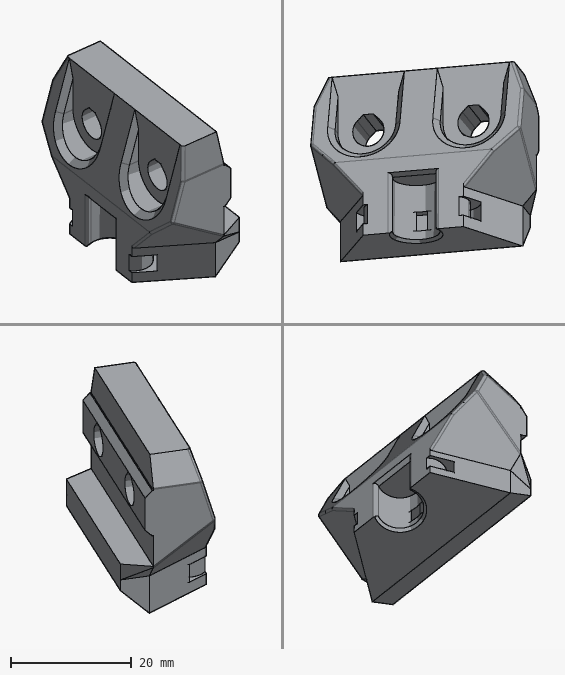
import cadquery as cq
import math

width = 36.0
height = 30.0
body_depth = 12.0
half_width = width / 2

slope_start_z = 13.18
top_setback = 4.95
shoulder_z = 24.55
top_half_width = 15.95

foot_front_half_width = 8.55
foot_rear_half_width = 15.62
foot_height = 7.02
flare_slope = 1.16
edge_round = 0.5

hole_spacing = 18.0
hole_z = 20.0
hole_radius = 2.65
hole_flat_height = 2.9
pocket_radius = 5.2
pocket_chamfer = 1.0

step_top_z = 10.0
rear_depth = 17.0
ridge_mid_z = hole_z
ridge_half_height = 4.25
ridge_ledge = 0.2
ridge_back_y = 13.43

socket_radius = 3.92
socket_axis_y = 1.95
socket_roof_z = 9.97
mouth_round = 0.6
roof_bevel_height = 0.6
roof_bevel_depth = 0.75
socket_bottom_chamfer = 0.5

tie_bottom_z = 2.0
tie_width = 3.3
tie_inner_half_width = 9.0
tie_inner_back_y = 5.75
tie_inner_radius = 3.25
tie_thickness = 1.8

clearance = 3.6

front_slope = top_setback / (height - slope_start_z)


def slope_y(z):
    """Y of the front surface at height z."""
    return max(0.0, (z - slope_start_z) * front_slope)


def prism_x(points):
    """Extrude a (y, z) outline across the full width."""
    return cq.Workplane("YZ").polyline(points).close().extrude(half_width, both=True)


def mirrored(shape):
    """The shape together with its mirror image across the YZ plane."""
    return shape.union(shape.mirror("YZ"))


def flare_cutter():
    """Waste beside and below the flared sides of the foot, for the +X side."""
    def section(y, corner_x):
        reach = half_width
        outline = [
            (corner_x, -clearance),
            (corner_x, foot_height),
            (corner_x + reach, foot_height + reach * flare_slope),
            (corner_x + reach, -clearance),
        ]
        return cq.Wire.makePolygon([cq.Vector(x, y, z) for x, z in outline], close=True)

    front = section(0, foot_front_half_width)
    middle = section(body_depth, foot_rear_half_width)
    rear = section(rear_depth, foot_rear_half_width)
    body_waste = cq.Workplane(cq.Solid.makeLoft([front, middle], True))
    return body_waste.union(cq.Workplane(cq.Solid.makeLoft([middle, rear], True)))


def main_body(foot_waste):
    side = prism_x([
        (0, 0), (body_depth, 0), (body_depth, height), (top_setback, height), (0, slope_start_z),
    ])
    face_outline = (
        cq.Workplane("XZ")
        .polyline([
            (-half_width, 0), (half_width, 0), (half_width, shoulder_z),
            (top_half_width, height), (-top_half_width, height), (-half_width, shoulder_z),
        ])
        .close()
        .extrude(-body_depth)
    )
    return round_edges(side.intersect(face_outline).cut(foot_waste))


def round_edges(body):
    """Round the side edges of the front surface and the edges around each flank."""
    foot_taper = (foot_rear_half_width - foot_front_half_width) / body_depth

    def flare_x(z):
        return foot_front_half_width + foot_taper * slope_y(z) + (z - foot_height) / flare_slope

    flank_front_z = slope_start_z + (half_width - flare_x(slope_start_z)) / (
        foot_taper * front_slope + 1 / flare_slope
    )
    flank_rear_z = foot_height + (half_width - foot_rear_half_width) * flare_slope

    taper_mid_z = (shoulder_z + height) / 2
    flank_mid_z = (flank_front_z + shoulder_z) / 2
    upper_flare_z = (slope_start_z + flank_front_z) / 2
    lower_flare_z = (foot_height + slope_start_z) / 2
    picks = [
        ((half_width + top_half_width) / 2, slope_y(taper_mid_z), taper_mid_z),
        (half_width, slope_y(flank_mid_z), flank_mid_z),
        (flare_x(upper_flare_z), slope_y(upper_flare_z), upper_flare_z),
        (flare_x(lower_flare_z), 0, lower_flare_z),
        (half_width, (slope_y(shoulder_z) + body_depth) / 2, shoulder_z),
        (half_width, (slope_y(flank_front_z) + body_depth) / 2, (flank_front_z + flank_rear_z) / 2),
    ]
    edges = []
    for x, y, z in picks:
        for side in (-1, 1):
            edges += body.edges(cq.NearestToPointSelector((side * x, y, z))).vals()
    return body.newObject(edges).fillet(edge_round)


def rear_step(foot_waste):
    profile = prism_x([
        (body_depth, 0), (rear_depth, rear_depth - body_depth),
        (rear_depth, step_top_z), (body_depth, step_top_z),
    ])
    plan = (
        cq.Workplane("XY")
        .polyline([
            (-half_width, body_depth), (half_width, body_depth),
            (foot_rear_half_width, rear_depth), (-foot_rear_half_width, rear_depth),
        ])
        .close()
        .extrude(step_top_z)
    )
    return profile.intersect(plan).cut(foot_waste)


def ridge():
    ledge_y = body_depth + ridge_ledge
    crest_half_height = ridge_half_height - (ridge_back_y - ledge_y)
    low, high = ridge_mid_z - ridge_half_height, ridge_mid_z + ridge_half_height
    return prism_x([
        (body_depth, low), (ledge_y, low), (ridge_back_y, ridge_mid_z - crest_half_height),
        (ridge_back_y, ridge_mid_z + crest_half_height), (ledge_y, high), (body_depth, high),
    ])


def screw_hole(x):
    """Teardrop hole with 45 degree roof sides and a flat top, along Y."""
    tangent = hole_radius / math.sqrt(2)
    flat_half = 2 * tangent - hole_flat_height
    return (
        cq.Workplane("XZ", origin=(x, 0, hole_z))
        .moveTo(-tangent, tangent)
        .threePointArc((0, -hole_radius), (tangent, tangent))
        .lineTo(flat_half, hole_flat_height)
        .lineTo(-flat_half, hole_flat_height)
        .close()
        .extrude(-rear_depth)
    )


def screw_pocket(x):
    """Void of a U-shaped pocket, chamfered where it breaks out of the sloping face."""
    top_z = height + 2 * clearance
    slab_half = hole_spacing / 2
    slab = (
        cq.Workplane("YZ", origin=(x, 0, 0))
        .polyline([
            (0, slope_start_z), (slope_y(top_z), top_z), (body_depth, top_z), (body_depth, slope_start_z),
        ])
        .close()
        .extrude(slab_half, both=True)
    )
    opening = (
        cq.Workplane("XZ", origin=(x, 0, hole_z))
        .moveTo(-pocket_radius, 0)
        .threePointArc((0, -pocket_radius), (pocket_radius, 0))
        .lineTo(pocket_radius, top_z)
        .lineTo(-pocket_radius, top_z)
        .close()
        .extrude(-body_depth)
    )
    pierced = slab.cut(opening)
    arc_centroid_z = hole_z - 2 * pocket_radius / math.pi
    straight_mid_z = (hole_z + top_z) / 2
    rim_points = [(0, arc_centroid_z), (-pocket_radius, straight_mid_z), (pocket_radius, straight_mid_z)]
    rim = []
    for dx, z in rim_points:
        rim += pierced.edges(cq.NearestToPointSelector((x + dx, slope_y(z), z))).vals()
    pierced = pierced.newObject(rim).chamfer(pocket_chamfer)
    floor_side = cq.Workplane("XY").box(width, top_setback, 2 * top_z, centered=(True, False, True))
    return slab.cut(pierced).intersect(floor_side.translate((x, 0, 0)))


def socket():
    """Void of the round socket with rounded lips, a bevelled roof edge and a chamfered lower rim."""
    mouth_top_z = socket_roof_z + roof_bevel_height
    reach = socket_radius + mouth_round
    lip_x = math.sqrt(reach**2 - (socket_axis_y - mouth_round) ** 2)
    touch_x = lip_x * socket_radius / reach
    touch_y = socket_axis_y - (socket_axis_y - mouth_round) * socket_radius / reach
    narrow_x = lip_x - mouth_round
    bore = (
        cq.Workplane("XY")
        .moveTo(-lip_x, 0)
        .lineTo(lip_x, 0)
        .threePointArc((narrow_x, mouth_round), (touch_x, touch_y))
        .threePointArc((0, socket_axis_y + socket_radius), (-touch_x, touch_y))
        .threePointArc((-narrow_x, mouth_round), (-lip_x, 0))
        .close()
        .extrude(mouth_top_z)
    )
    ceiling = (
        cq.Workplane("YZ")
        .polyline([
            (0, mouth_top_z), (roof_bevel_depth, socket_roof_z),
            (body_depth, socket_roof_z), (body_depth, mouth_top_z),
        ])
        .close()
        .extrude(half_width, both=True)
    )
    lower_rim = cq.Workplane(cq.Solid.makeCone(
        socket_radius + socket_bottom_chamfer, socket_radius, socket_bottom_chamfer,
        pnt=cq.Vector(0, socket_axis_y, 0),
    ))
    return bore.cut(ceiling).union(lower_rim)


def tie_channel():
    """Channel with round ends and a flat back, leaving through both foot walls."""
    axis_y = tie_inner_back_y - tie_inner_radius

    def stadium(offset):
        length = 2 * (tie_inner_half_width + offset)
        diameter = 2 * (tie_inner_radius + offset)
        base = cq.Workplane("XY", origin=(0, axis_y, tie_bottom_z))
        return base.slot2D(length, diameter).extrude(tie_width)

    return stadium(tie_thickness).cut(stadium(0))


foot_waste = mirrored(flare_cutter())
result = main_body(foot_waste).union(rear_step(foot_waste)).union(ridge())
for hole_x in (-hole_spacing / 2, hole_spacing / 2):
    result = result.cut(screw_pocket(hole_x)).cut(screw_hole(hole_x))
result = result.cut(tie_channel()).cut(socket())